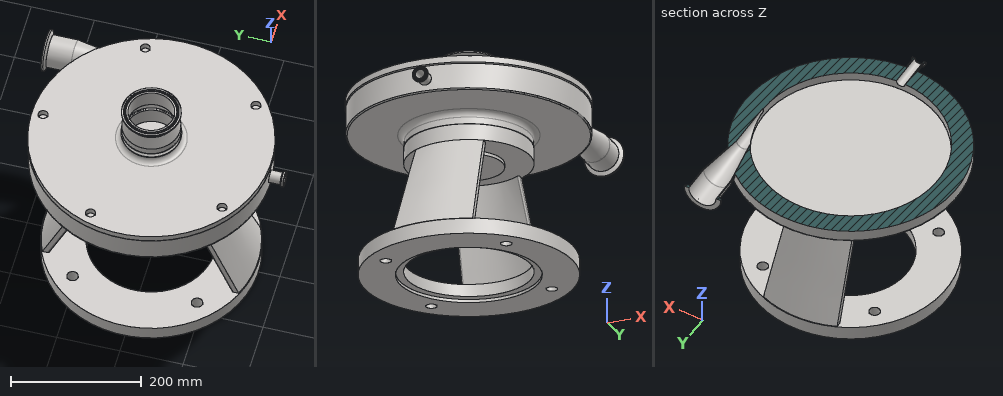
import cadquery as cq
import math

ARC_MIDDLE = 1 - math.sqrt(0.5)

base_radius = 169.7
base_bore_radius = 100.0
base_thickness = 25.0
base_recess_radius = 112.5
base_recess_depth = 5.0
base_hole_circle = 139.5
base_hole_radius = 8.7
base_hole_count = 4

leg_foot_radius = 168.5
leg_wall = 11.0
leg_foot_half_width = 65.0
leg_top_half_width = 55.5
leg_inner_edge_fillet = 2.0

ring_radius = 100.0
ring_bottom = 183.0
neck_radius = 99.0
neck_bottom = 209.2
neck_fillet = 10.0
stub_radius = 55.0
stub_height = 5.5

casing_radius = 188.5
casing_bottom = 230.5
casing_top = 273.0
casing_edge_fillet = 2.0
cavity_radius = 154.0
cavity_floor = 237.0
nozzle_height = (casing_bottom + casing_top) / 2

outlet_x = 144.5
outlet_end = 204.5
outlet_pipe_radius = 26.0
outlet_wall = 2.0
outlet_cone_start = 159.5
outlet_cone_length = 79.0
outlet_cone_tip_radius = 13.0
outlet_flange_radius = 32.5
outlet_flange_rim = 3.0
outlet_flange_taper = 3.5

drain_end = 211.5
drain_pipe_radius = 10.0
drain_bore_radius = 7.5
drain_flange_radius = 12.5
drain_flange_rim = 3.0
drain_flange_taper = 2.0
drain_groove_radius = 10.0
drain_groove_width = 1.5

cover_diameter = 379.0
cover_radius = cover_diameter / 2
cover_gap = 2.0
cover_seat_radius = 160.0
cover_top = 285.5
cover_hole_circle = 171.5
cover_hole_radius = 7.5
cover_hole_count = 5

hub_radius = 45.5
hub_fillet = 9.5
hub_lip_radius = 46.5
hub_lip_height = 298.3
groove_radius = 43.0
groove_height = 301.5
reducer_radius = 45.5
reducer_bottom = 304.0
reducer_cone_start = 316.5
reducer_cone_end = 336.5
inlet_pipe_radius = 38.3
inlet_wall = 2.5
inlet_flange_radius = 45.8
inlet_flange_rim = 2.5
inlet_flange_taper = 3.5
inlet_top = 351.5
inlet_bore_depth = 29.5
inlet_groove_radius = 40.8
inlet_groove_width = 3.7


def disk(radius, bottom, top):
    """Vertical cylinder on the Z axis between two heights."""
    return cq.Workplane("XY").workplane(offset=bottom).circle(radius).extrude(top - bottom)


def revolve_z(sketch):
    """Full turn of an XZ outline about the Z axis."""
    return sketch.close().revolve(360, (0, 0, 0), (0, 1, 0))


def hole_ring(radius, circle_radius, count, first_angle, bottom, top):
    """Vertical hole cutters spaced evenly round the Z axis."""
    return (
        cq.Workplane("XY")
        .workplane(offset=bottom)
        .polarArray(circle_radius, first_angle, 360, count)
        .circle(radius)
        .extrude(top - bottom)
    )


def gasket_groove(middle_radius, width, face_height):
    """Ring cutter with sloping sides for a groove in a flange face."""
    depth = width / 3
    floor_width = width / 3
    return revolve_z(
        cq.Workplane("XZ")
        .moveTo(middle_radius - width / 2, face_height)
        .lineTo(middle_radius - floor_width / 2, face_height - depth)
        .lineTo(middle_radius + floor_width / 2, face_height - depth)
        .lineTo(middle_radius + width / 2, face_height)
    )


def make_base():
    flange = disk(base_radius, 0, base_thickness).cut(disk(base_bore_radius, 0, base_thickness))
    flange = flange.cut(disk(base_recess_radius, 0, base_recess_depth))
    first_angle = 180 / base_hole_count
    return flange.cut(
        hole_ring(base_hole_radius, base_hole_circle, base_hole_count, first_angle, 0, base_thickness)
    )


def make_legs():
    shell = revolve_z(
        cq.Workplane("XZ")
        .moveTo(leg_foot_radius - leg_wall, base_thickness)
        .lineTo(leg_foot_radius, base_thickness)
        .lineTo(ring_radius, ring_bottom)
        .lineTo(ring_radius - leg_wall, ring_bottom)
    )
    width_limit = (
        cq.Workplane("XZ")
        .moveTo(-leg_foot_half_width, base_thickness)
        .lineTo(leg_foot_half_width, base_thickness)
        .lineTo(leg_top_half_width, ring_bottom)
        .lineTo(-leg_top_half_width, ring_bottom)
        .close()
        .extrude(base_radius, both=True)
    )
    legs = shell.intersect(width_limit)

    middle_height = (base_thickness + ring_bottom) / 2
    wall_middle_radius = (leg_foot_radius + ring_radius - leg_wall) / 2

    def is_long_inner_edge(edge):
        point = edge.positionAt(0.5)
        at_middle = abs(point.z - middle_height) < leg_wall
        return at_middle and math.hypot(point.x, point.y) < wall_middle_radius

    return legs.newObject(filter(is_long_inner_edge, legs.edges().vals())).fillet(leg_inner_edge_fillet)


def make_casing_block():
    """Ring, neck and casing drum as one turned shape."""
    arc_middle = neck_fillet * ARC_MIDDLE
    rim_arc_middle = casing_edge_fillet * ARC_MIDDLE
    return revolve_z(
        cq.Workplane("XZ")
        .moveTo(0, ring_bottom - stub_height)
        .lineTo(stub_radius, ring_bottom - stub_height)
        .lineTo(stub_radius, ring_bottom)
        .lineTo(ring_radius, ring_bottom)
        .lineTo(ring_radius, neck_bottom)
        .lineTo(neck_radius, neck_bottom)
        .lineTo(neck_radius, casing_bottom - neck_fillet)
        .threePointArc(
            (neck_radius + arc_middle, casing_bottom - arc_middle),
            (neck_radius + neck_fillet, casing_bottom),
        )
        .lineTo(casing_radius - casing_edge_fillet, casing_bottom)
        .threePointArc(
            (casing_radius - rim_arc_middle, casing_bottom + rim_arc_middle),
            (casing_radius, casing_bottom + casing_edge_fillet),
        )
        .lineTo(casing_radius, casing_top)
        .lineTo(0, casing_top)
    )


def place_nozzle(nozzle, x, towards_plus_y):
    """Turn a nozzle from the Z axis onto the Y direction at the casing mid-height."""
    angle = -90 if towards_plus_y else 90
    return nozzle.rotate((0, 0, 0), (1, 0, 0), angle).translate((x, 0, nozzle_height))


def make_outlet():
    """Return the outlet's outer shape and its bore."""
    cone_end = outlet_cone_start - outlet_cone_length
    bore_radius = outlet_pipe_radius - outlet_wall
    channel_radius = outlet_cone_tip_radius - outlet_wall
    flange_back = outlet_end - outlet_flange_rim - outlet_flange_taper
    outer = revolve_z(
        cq.Workplane("XZ")
        .moveTo(0, cone_end)
        .lineTo(outlet_cone_tip_radius, cone_end)
        .lineTo(outlet_pipe_radius, outlet_cone_start)
        .lineTo(outlet_pipe_radius, flange_back)
        .lineTo(outlet_flange_radius, outlet_end - outlet_flange_rim)
        .lineTo(outlet_flange_radius, outlet_end)
        .lineTo(0, outlet_end)
    )
    bore = revolve_z(
        cq.Workplane("XZ")
        .lineTo(channel_radius, 0)
        .lineTo(channel_radius, cone_end)
        .lineTo(bore_radius, outlet_cone_start)
        .lineTo(bore_radius, outlet_end)
        .lineTo(0, outlet_end)
    )
    return place_nozzle(outer, outlet_x, True), place_nozzle(bore, outlet_x, True)


def make_drain():
    """Return the drain's outer shape, rooted in the casing wall, and its bore."""
    flange_back = drain_end - drain_flange_rim - drain_flange_taper
    wall_middle = (cavity_radius + casing_radius) / 2
    outer = revolve_z(
        cq.Workplane("XZ")
        .moveTo(0, wall_middle)
        .lineTo(drain_pipe_radius, wall_middle)
        .lineTo(drain_pipe_radius, flange_back)
        .lineTo(drain_flange_radius, drain_end - drain_flange_rim)
        .lineTo(drain_flange_radius, drain_end)
        .lineTo(0, drain_end)
    )
    outer = outer.cut(gasket_groove(drain_groove_radius, drain_groove_width, drain_end))
    bore = disk(drain_bore_radius, 0, drain_end)
    return place_nozzle(outer, 0, False), place_nozzle(bore, 0, False)


def make_pump_body():
    """Casing on its stand, with both side nozzles."""
    outlet, outlet_bore = make_outlet()
    drain, drain_bore = make_drain()
    cavity = disk(cavity_radius, cavity_floor, casing_top)
    body = make_casing_block().union(outlet).union(drain)
    body = body.cut(cavity).cut(outlet_bore).cut(drain_bore)
    return body.union(make_legs()).union(make_base())


def make_inlet_bore():
    pipe_bore = inlet_pipe_radius - inlet_wall
    reducer_bore = reducer_radius - inlet_wall
    bore_bottom = reducer_bore - inlet_wall
    return revolve_z(
        cq.Workplane("XZ")
        .moveTo(0, casing_top)
        .lineTo(bore_bottom, casing_top)
        .lineTo(bore_bottom, groove_height)
        .lineTo(reducer_bore, reducer_bottom)
        .lineTo(pipe_bore, inlet_top - inlet_bore_depth)
        .lineTo(pipe_bore, inlet_top)
        .lineTo(0, inlet_top)
    )


def make_cover():
    """Cover plate with its seating face, bolt holes and inlet neck."""
    plate_bottom = casing_top + cover_gap
    hub_foot_radius = hub_radius + hub_fillet
    arc_middle = hub_fillet * ARC_MIDDLE
    flange_back = inlet_top - inlet_flange_rim - inlet_flange_taper
    turned = revolve_z(
        cq.Workplane("XZ")
        .moveTo(0, casing_top)
        .lineTo(cover_seat_radius, casing_top)
        .lineTo(cover_seat_radius, plate_bottom)
        .lineTo(cover_radius, plate_bottom)
        .lineTo(cover_radius, cover_top)
        .lineTo(hub_foot_radius, cover_top)
        .threePointArc(
            (hub_radius + arc_middle, cover_top + arc_middle),
            (hub_radius, cover_top + hub_fillet),
        )
        .lineTo(hub_lip_radius, hub_lip_height)
        .lineTo(groove_radius, groove_height)
        .lineTo(reducer_radius, reducer_bottom)
        .lineTo(reducer_radius, reducer_cone_start)
        .lineTo(inlet_pipe_radius, reducer_cone_end)
        .lineTo(inlet_pipe_radius, flange_back)
        .lineTo(inlet_flange_radius, inlet_top - inlet_flange_rim)
        .lineTo(inlet_flange_radius, inlet_top)
        .lineTo(0, inlet_top)
    )
    turned = turned.cut(gasket_groove(inlet_groove_radius, inlet_groove_width, inlet_top))
    bolt_holes = hole_ring(
        cover_hole_radius, cover_hole_circle, cover_hole_count, 90, plate_bottom, cover_top
    )
    return turned.cut(bolt_holes).cut(make_inlet_bore())


pump_body = make_pump_body()
cover = make_cover()

result = cq.Compound.makeCompound([pump_body.solids().val(), cover.solids().val()])